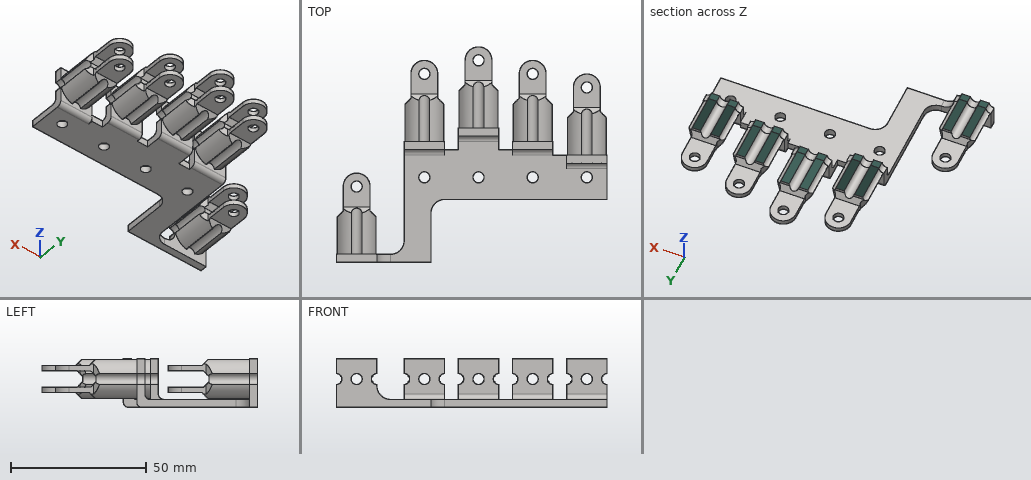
import cadquery as cq
import math

sheet = 3.0
tab_width = 15.0
tab_height = 18.0
hole_diameter = 4.0
bend_inner_radius = 2.0
bend_outer_radius = 2.0
corner_radius = 5.0
arc_middle = 1 - math.sqrt(0.5)
axis_height = (sheet + tab_height) / 2

thumb_x = tab_width / 2
thumb_front = sheet
finger_pitch = 20.0
first_finger_x = 32.5
finger_count = 4
finger_xs = [first_finger_x + i * finger_pitch for i in range(finger_count)]
outer_front = 44.6
finger_stagger = 5.0
finger_fronts = [outer_front, outer_front + finger_stagger, outer_front, outer_front - finger_stagger]

base_left = first_finger_x - tab_width / 2
base_right = finger_xs[-1] + tab_width / 2
arm_width = 10.0
bar_back = 23.2
bar_front = outer_front - sheet
bar_step_x = finger_xs[2] + tab_width / 2
base_hole_y = 31.4

barrel_diameter = tab_width
knuckle_length = 30.0
prong_half_width = 5.0
prong_outer = 5.0
prong_inner = 3.0
side_shoulder_y = 16.0
flat_shoulder_y = 17.5
slot_root_y = 15.0
slot_root_half_height = 1.0
pin_y = knuckle_length - prong_half_width


def cylinder_along_y(diameter, x, z, y_start, y_end):
    """Cylinder parallel to Y."""
    return (
        cq.Workplane("XZ", origin=(x, y_start, z))
        .circle(diameter / 2)
        .extrude(y_start - y_end)
    )


def cylinder_along_z(diameter, x, y, z_start, z_end):
    """Cylinder parallel to Z."""
    return (
        cq.Workplane("XY", origin=(x, y, z_start))
        .circle(diameter / 2)
        .extrude(z_end - z_start)
    )


def make_base():
    """Flat base: bar under the fingers, arm and foot strip for the thumb tab."""
    arm_right = base_left + arm_width
    last_front = finger_fronts[-1]
    last_tab_left = finger_xs[-1] - tab_width / 2
    outline = [
        (0, 0),
        (arm_right, 0),
        (arm_right, bar_back),
        (base_right, bar_back),
        (base_right, last_front - sheet),
        (last_tab_left, last_front - sheet),
        (last_tab_left, last_front),
        (bar_step_x, last_front),
        (bar_step_x, bar_front),
        (base_left, bar_front),
        (base_left, sheet),
        (0, sheet),
    ]
    base = cq.Workplane("XY").polyline(outline).close().extrude(sheet)
    for x, y in [(arm_right, bar_back), (base_left, sheet)]:
        inside_corner = cq.selectors.NearestToPointSelector((x, y, sheet / 2))
        base = base.edges("|Z").edges(inside_corner).fillet(corner_radius)
    return base


def make_finger_tab(center_x, front):
    """Tab bent up from the base, with rounded bend and a foot reaching back across the bar."""
    back = front - sheet
    bend_shift = bend_inner_radius * arc_middle
    bend_cut = bend_outer_radius * arc_middle
    return (
        cq.Workplane("YZ", origin=(center_x - tab_width / 2, 0, 0))
        .moveTo(bar_back, 0)
        .lineTo(front - bend_outer_radius, 0)
        .threePointArc((front - bend_cut, bend_cut), (front, bend_outer_radius))
        .lineTo(front, tab_height)
        .lineTo(back, tab_height)
        .lineTo(back, sheet + bend_inner_radius)
        .threePointArc((back - bend_shift, sheet + bend_shift), (back - bend_inner_radius, sheet))
        .lineTo(bar_back, sheet)
        .close()
        .extrude(tab_width)
    )


def make_thumb_tab():
    """Tab standing on the foot strip, with a round inside corner."""
    right = tab_width
    bend_shift = corner_radius * arc_middle
    return (
        cq.Workplane("XZ")
        .moveTo(0, 0)
        .lineTo(right + corner_radius, 0)
        .lineTo(right + corner_radius, sheet)
        .threePointArc((right + bend_shift, sheet + bend_shift), (right, sheet + corner_radius))
        .lineTo(right, tab_height)
        .lineTo(0, tab_height)
        .close()
        .extrude(-sheet)
    )


def drill_tab(bracket, center_x, front):
    """Centre hole and the two half-round side notches of one tab."""
    for offset in (-tab_width / 2, 0, tab_width / 2):
        tool = cylinder_along_y(hole_diameter, center_x + offset, axis_height, front - sheet, front)
        bracket = bracket.cut(tool)
    return bracket


def make_bracket():
    """Base and tabs in one piece, with all their holes and notches."""
    bracket = make_base().union(make_thumb_tab())
    for x, front in zip(finger_xs, finger_fronts):
        bracket = bracket.union(make_finger_tab(x, front))
    bracket = drill_tab(bracket, thumb_x, thumb_front)
    for x, front in zip(finger_xs, finger_fronts):
        bracket = drill_tab(bracket, x, front)
        bracket = bracket.cut(cylinder_along_z(hole_diameter, x, base_hole_y, 0, sheet))
    return bracket


def make_knuckle(center_x, front):
    """One knuckle on the front face of a tab, lying along +Y."""
    radius = barrel_diameter / 2
    side_bevel_y = side_shoulder_y - (radius - prong_half_width)
    flat_bevel_y = flat_shoulder_y - (radius - prong_outer)
    slot_mouth_y = slot_root_y + (prong_inner - slot_root_half_height)
    barrel = cylinder_along_y(barrel_diameter, 0, 0, 0, knuckle_length)

    plan = (
        cq.Workplane("XY", origin=(0, 0, -radius))
        .moveTo(-radius, 0)
        .lineTo(radius, 0)
        .lineTo(radius, side_bevel_y)
        .lineTo(prong_half_width, side_shoulder_y)
        .lineTo(prong_half_width, pin_y)
        .threePointArc((0, knuckle_length), (-prong_half_width, pin_y))
        .lineTo(-prong_half_width, side_shoulder_y)
        .lineTo(-radius, side_bevel_y)
        .close()
        .extrude(barrel_diameter)
    )

    upper_half = [
        (radius, 0),
        (radius, flat_bevel_y),
        (prong_outer, flat_shoulder_y),
        (prong_outer, knuckle_length),
        (prong_inner, knuckle_length),
        (prong_inner, slot_mouth_y),
        (slot_root_half_height, slot_root_y),
    ]
    lower_half = [(-height, y) for height, y in reversed(upper_half)]
    side_outline = [(y, height) for height, y in upper_half + lower_half]
    side = (
        cq.Workplane("YZ", origin=(-radius, 0, 0))
        .polyline(side_outline)
        .close()
        .extrude(barrel_diameter)
    )

    knuckle = barrel.intersect(plan).intersect(side)

    for z in (-radius, 0, radius):
        knuckle = knuckle.cut(cylinder_along_y(hole_diameter, 0, z, 0, knuckle_length))

    for x in (-radius, radius):
        knuckle = knuckle.cut(cylinder_along_y(hole_diameter, x, 0, 0, slot_root_y))

    knuckle = knuckle.cut(cylinder_along_z(hole_diameter, 0, pin_y, -radius, radius))
    return knuckle.translate((center_x, front, axis_height))


bracket = make_bracket()
knuckle_places = [(thumb_x, thumb_front)] + list(zip(finger_xs, finger_fronts))
knuckles = [make_knuckle(x, front) for x, front in knuckle_places]

result = cq.Compound.makeCompound([bracket.val(), *[knuckle.val() for knuckle in knuckles]])